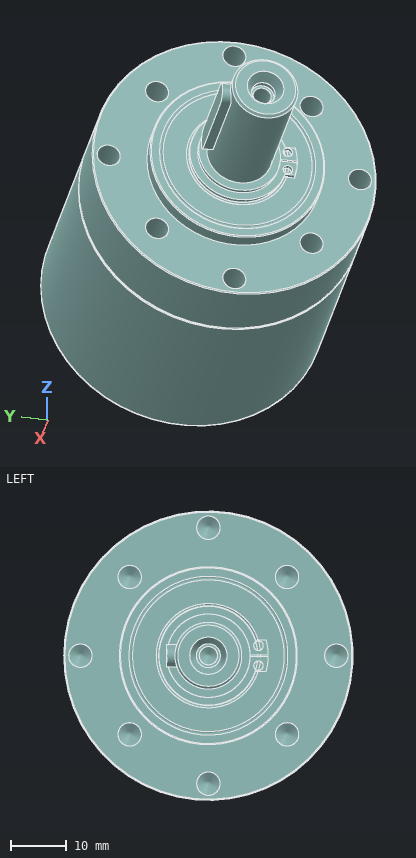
import cadquery as cq
import math


shaft_end_x = 0.0
collar_x = 24.5
circlip_x = 25.4
pilot_x = 26.4
flange_x = 29.5
joint_x = 42.5
rear_x = 78.5

shaft_diameter = 12.0
collar_diameter = 15.0
circlip_diameter = 17.9
pilot_diameter = 32.0
housing_diameter = 52.0

shaft_chamfer = 0.5
housing_chamfer = 0.2

outer_groove_diameter = 27.93
outer_groove_width = 0.64
inner_groove_diameter = 18.25
inner_groove_width = 0.5

lug_radius = 10.75
lug_total_width = 5.6
lug_gap = 0.3
lug_hole_diameter = 1.7
lug_hole_radial_offset = 9.0
lug_hole_side_offset = 1.8

key_start_x = 2.0
key_length = 20.0
key_width = 4.0
key_height = 4.0
key_projection = 1.5

centre_mouth_diameter = 6.7
centre_relief_diameter = 4.3
centre_drill_diameter = 3.3
centre_cone_half_angle = 30.0
centre_relief_depth = 3.2
centre_drill_depth = 14.0

mounting_hole_diameter = 4.2
mounting_hole_depth = 10.0
mounting_hole_count = 4
outer_bolt_circle_diameter = 46.0
outer_bolt_start_angle = 0.0
inner_bolt_circle_diameter = 40.0
inner_bolt_start_angle = 45.0

drill_point_half_angle = 59.0


def cylinder(start_x, end_x, diameter):
    """Cylinder on the gearbox axis."""
    section = cq.Workplane("YZ", origin=(start_x, 0, 0)).circle(diameter / 2)
    return section.extrude(end_x - start_x)


def revolve_profile(points):
    """Solid turned about the X axis from (x, radius) points."""
    return cq.Workplane("XY").polyline(points).close().revolve(360, (0, 0, 0), (1, 0, 0))


def drill_point_length(diameter):
    return diameter / 2 / math.tan(math.radians(drill_point_half_angle))


def make_housing():
    flange = cylinder(flange_x, joint_x, housing_diameter).edges().chamfer(housing_chamfer)
    gear_case = cylinder(joint_x, rear_x, housing_diameter).edges().chamfer(housing_chamfer)
    pilot = cylinder(pilot_x, flange_x, pilot_diameter).faces("<X").chamfer(housing_chamfer)
    return flange.union(gear_case).union(pilot)


def make_face_groove(mean_diameter, width):
    """Half-round ring that cuts into the pilot face."""
    mean_radius = mean_diameter / 2
    half_width = width / 2
    profile = cq.Workplane("XY").moveTo(pilot_x, mean_radius - half_width)
    profile = profile.threePointArc(
        (pilot_x + half_width, mean_radius),
        (pilot_x, mean_radius + half_width),
    ).close()
    return profile.revolve(360, (0, 0, 0), (1, 0, 0))


def make_shaft():
    shaft = cylinder(shaft_end_x, collar_x, shaft_diameter).faces("<X").chamfer(shaft_chamfer)
    return shaft.union(cylinder(collar_x, pilot_x, collar_diameter))


def make_key():
    key_top = shaft_diameter / 2 + key_projection
    key_plane = cq.Workplane("XZ", origin=(key_start_x + key_length / 2, key_top, 0))
    return key_plane.slot2D(key_length, key_width).extrude(key_height)


def make_circlip():
    thickness = pilot_x - circlip_x
    lug_plane = cq.Workplane("YZ", origin=(circlip_x, -lug_radius / 2, 0))
    lug_block = lug_plane.rect(lug_radius, lug_total_width).extrude(thickness)
    lugs = lug_block.intersect(cylinder(circlip_x, pilot_x, 2 * lug_radius))
    ring = cylinder(circlip_x, pilot_x, circlip_diameter).union(lugs)

    ring = ring.cut(lug_plane.rect(lug_radius, lug_gap).extrude(thickness))
    hole_positions = [(-lug_hole_radial_offset, side * lug_hole_side_offset) for side in (-1, 1)]
    hole_plane = cq.Workplane("YZ", origin=(circlip_x, 0, 0)).pushPoints(hole_positions)
    ring = ring.cut(hole_plane.circle(lug_hole_diameter / 2).extrude(thickness))
    return ring.cut(cylinder(circlip_x, pilot_x, collar_diameter))


def make_centre_hole():
    mouth_radius = centre_mouth_diameter / 2
    relief_radius = centre_relief_diameter / 2
    drill_radius = centre_drill_diameter / 2
    cone_depth = (mouth_radius - relief_radius) / math.tan(math.radians(centre_cone_half_angle))
    return revolve_profile([
        (shaft_end_x, 0),
        (shaft_end_x, mouth_radius),
        (shaft_end_x + cone_depth, relief_radius),
        (shaft_end_x + centre_relief_depth, relief_radius),
        (shaft_end_x + centre_relief_depth, drill_radius),
        (shaft_end_x + centre_drill_depth, drill_radius),
        (shaft_end_x + centre_drill_depth + drill_point_length(centre_drill_diameter), 0),
    ])


def make_mounting_holes(bolt_circle_diameter, start_angle):
    """Blind holes with drill points, evenly spaced on one bolt circle."""
    radius = mounting_hole_diameter / 2
    bottom_x = flange_x + mounting_hole_depth
    drill = revolve_profile([
        (flange_x, 0),
        (flange_x, radius),
        (bottom_x, radius),
        (bottom_x + drill_point_length(mounting_hole_diameter), 0),
    ])
    first_hole = drill.translate((0, bolt_circle_diameter / 2, 0))
    holes = cq.Workplane("XY")
    for index in range(mounting_hole_count):
        angle = start_angle + index * 360 / mounting_hole_count
        holes = holes.add(first_hole.rotate((0, 0, 0), (1, 0, 0), angle))
    return holes.combine()


result = (
    make_housing()
    .cut(make_face_groove(outer_groove_diameter, outer_groove_width))
    .cut(make_face_groove(inner_groove_diameter, inner_groove_width))
    .union(make_shaft())
    .union(make_circlip())
    .union(make_key())
    .cut(make_centre_hole())
    .cut(make_mounting_holes(outer_bolt_circle_diameter, outer_bolt_start_angle))
    .cut(make_mounting_holes(inner_bolt_circle_diameter, inner_bolt_start_angle))
)